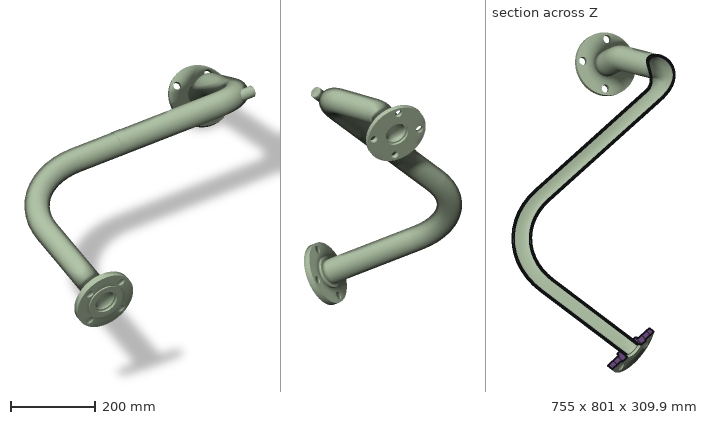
import cadquery as cq
import math


PIPE_OD = 60.0
PIPE_ID = 52.0

TUBE_BEND_RADIUS = 183.0
END_FACE_X = 464.5
BRANCH_Y = 649.0

ELBOW_RADIUS = 76.0
SLOPE_UPPER = 33.0
SLOPE_LOWER = 58.0
UPPER_PIPE_LENGTH = 118.0
STUB_LENGTH = 65.0

FLANGE_OD = 152.0
BOLT_CIRCLE = 120.0
BOLT_HOLE = 19.0
BOLT_COUNT = 4
FIRST_BOLT_ANGLE = 45
PIPE_SETBACK = 6.5
PLATE_THICKNESS = 11.0
RAISED_PLATE_THICKNESS = 16.0
HUB_OD = 78.0
HUB_LENGTH = 6.5
RAISED_FACE_OD = 91.0
RAISED_FACE_HEIGHT = 3.0

BOSS_OD = 28.0
BOSS_END_Y = BRANCH_Y + 18.5
BOSS_CHAMFER = 2.0

LABEL_Y = 304.0
LABEL_WIDTH = 22.5
LABEL_THICKNESS = 1.0
LABEL_EDGE_Z = 6.0
LABEL_CORNER = 5.0


def downhill(slope):
    """Unit vector toward -X, falling at the given slope in degrees."""
    angle = math.radians(slope)
    return cq.Vector(-math.cos(angle), 0, -math.sin(angle))


def plane_across(origin, direction):
    """Plane at origin facing along direction, with its local Y axis square to world Y."""
    return cq.Plane(origin=origin, xDir=(0, 1, 0), normal=direction)


def straight_pipe(start, direction, length):
    section = cq.Workplane(plane_across(start, direction)).circle(PIPE_OD / 2).circle(PIPE_ID / 2)
    return section.extrude(length)


def arc_end(start, direction_in, direction_out, radius):
    """End point of an arc that turns from one unit direction to another."""
    tangent_length = radius * math.tan(direction_in.getAngle(direction_out) / 2)
    return start + (direction_in + direction_out) * tangent_length


def pipe_bend(start, direction_in, end, inner_diameter=PIPE_ID):
    """Bend of pipe section along the arc from start to end; an inner diameter of 0 makes it solid."""
    path = cq.Workplane(obj=cq.Edge.makeTangentArc(start, direction_in, end))
    section = cq.Workplane(cq.Plane(origin=start, xDir=(0, 0, 1), normal=direction_in)).circle(PIPE_OD / 2)
    if inner_diameter:
        section = section.circle(inner_diameter / 2)
    return section.sweep(path)


def drill_flange(flange, plane, depth):
    """Cut the pipe bore and the bolt holes, depth deep along the plane's normal."""
    bore = cq.Workplane(plane).circle(PIPE_OD / 2).extrude(depth)
    bolts = (
        cq.Workplane(plane)
        .polarArray(BOLT_CIRCLE / 2, FIRST_BOLT_ANGLE, 360, BOLT_COUNT)
        .circle(BOLT_HOLE / 2)
        .extrude(depth)
    )
    return flange.cut(bore).cut(bolts)


to_branch = cq.Vector(0, 1, 0)
upper_direction = downhill(SLOPE_UPPER)
lower_direction = downhill(SLOPE_LOWER)
elbow_start = cq.Vector(0, BRANCH_Y - ELBOW_RADIUS, 0)
elbow_end = arc_end(elbow_start, to_branch, upper_direction, ELBOW_RADIUS)
upper_end = elbow_end + upper_direction * UPPER_PIPE_LENGTH
stub_start = arc_end(upper_end, upper_direction, lower_direction, ELBOW_RADIUS)
plate_back = stub_start + lower_direction * STUB_LENGTH


def make_bent_tube():
    pipe_end_x = END_FACE_X - PIPE_SETBACK
    path = (
        cq.Workplane("XY")
        .moveTo(elbow_start.x, elbow_start.y)
        .lineTo(0, TUBE_BEND_RADIUS)
        .tangentArcPoint((TUBE_BEND_RADIUS, 0), relative=False)
        .lineTo(pipe_end_x, 0)
    )
    section = cq.Workplane("XZ", origin=elbow_start.toTuple()).circle(PIPE_OD / 2).circle(PIPE_ID / 2)
    return section.sweep(path)


def make_raised_face_flange():
    total_length = HUB_LENGTH + RAISED_PLATE_THICKNESS + RAISED_FACE_HEIGHT
    plane = cq.Plane(origin=(END_FACE_X - total_length, 0, 0), xDir=(0, 1, 0), normal=(1, 0, 0))
    flange = (
        cq.Workplane(plane)
        .circle(HUB_OD / 2)
        .extrude(HUB_LENGTH)
        .faces(">X")
        .workplane()
        .circle(FLANGE_OD / 2)
        .extrude(RAISED_PLATE_THICKNESS)
        .faces(">X")
        .workplane()
        .circle(RAISED_FACE_OD / 2)
        .extrude(RAISED_FACE_HEIGHT)
    )
    return drill_flange(flange, plane, total_length)


def make_plate_flange():
    plane = plane_across(plate_back, lower_direction)
    plate = cq.Workplane(plane).circle(FLANGE_OD / 2).extrude(PLATE_THICKNESS)
    return drill_flange(plate, plane, PLATE_THICKNESS)


def make_boss():
    """Round boss in line with the long tube, trimmed to the outside of the elbow."""
    boss = (
        cq.Workplane("XZ", origin=(0, BOSS_END_Y, 0))
        .circle(BOSS_OD / 2)
        .extrude(BOSS_END_Y - elbow_start.y)
        .faces(">Y")
        .chamfer(BOSS_CHAMFER)
    )
    trimmed = boss.cut(pipe_bend(elbow_start, to_branch, elbow_end, inner_diameter=0))
    return trimmed.solids(">Y")


def make_label():
    """Thin curved plate over the top of the tube, with rounded corners at its lower edges."""
    outer_radius = PIPE_OD / 2 + LABEL_THICKNESS
    sleeve = (
        cq.Workplane("XZ", origin=(0, LABEL_Y + LABEL_WIDTH / 2, 0))
        .circle(outer_radius)
        .circle(PIPE_OD / 2)
        .extrude(LABEL_WIDTH)
    )
    side_profile = (
        cq.Workplane("YZ")
        .center(LABEL_Y, LABEL_EDGE_Z + outer_radius / 2)
        .rect(LABEL_WIDTH, outer_radius)
        .extrude(outer_radius, both=True)
        .edges("|X and <Z")
        .fillet(LABEL_CORNER)
    )
    return sleeve.intersect(side_profile)


bent_tube = make_bent_tube()
raised_face_flange = make_raised_face_flange()
elbow = pipe_bend(elbow_start, to_branch, elbow_end)
boss = make_boss()
upper_pipe = straight_pipe(elbow_end, upper_direction, UPPER_PIPE_LENGTH)
shallow_bend = pipe_bend(upper_end, upper_direction, stub_start)
stub_pipe = straight_pipe(stub_start, lower_direction, STUB_LENGTH + PLATE_THICKNESS - PIPE_SETBACK)
plate_flange = make_plate_flange()
label = make_label()

result = cq.Compound.makeCompound(
    [
        bent_tube.val(),
        raised_face_flange.val(),
        elbow.val(),
        boss.val(),
        upper_pipe.val(),
        shallow_bend.val(),
        stub_pipe.val(),
        plate_flange.val(),
        label.val(),
    ]
)